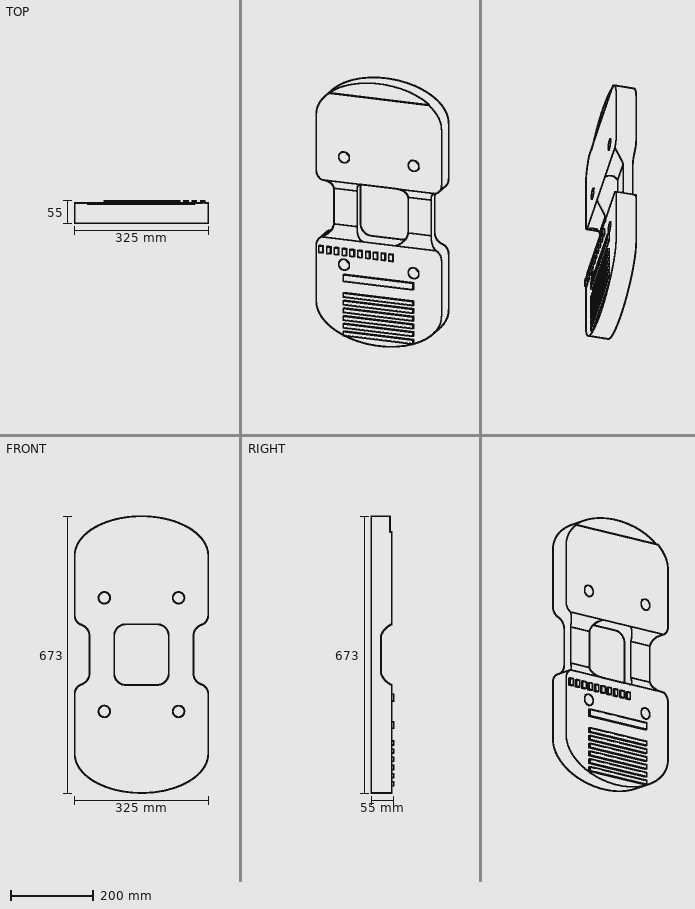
import cadquery as cq
import math

plate_height = 673.0
plate_width = 325.0
overall_depth = 55.0
raise_height = 5.0
plate_thickness = overall_depth - raise_height
end_rise = 96.0

waist_width = 253.0
waist_straight = 91.5
notch_opening = 192.5
waist_radius = 27.5

window_width = 132.0
window_height = waist_straight + 2 * waist_radius
channel_floor_thickness = 24.0
channel_wall_bow = 4.0

hole_diameter = 27.5
hole_spacing_x = 180.5
hole_spacing_z = 276.0

step_depth = 4.0
step_height = 38.5

bar_width = 180.5
bar_height = 17.0
bar_z = -171.0
slat_height = 10.0
slat_count = 6
top_slat_z = -215.0
bottom_slat_z = -314.0
slat_pitch = (top_slat_z - bottom_slat_z) / (slat_count - 1)
tab_width = 10.0
tab_height = bar_height
tab_count = 10
tab_pitch = 20.0
tab_row_x = 58.0
tab_row_z = -104.5

half_width = plate_width / 2
half_height = plate_height / 2


def front_plane(y):
    """XZ plane at depth y, with local axes along X and Z; extrude negative to go toward +Y."""
    return cq.Workplane("XZ", origin=(0, y, 0))


def arc_point(center, radius, angle):
    """Point on a circle, angle in radians from +X."""
    return (center[0] + radius * math.cos(angle), center[1] + radius * math.sin(angle))


def quadrant_points():
    """Points of the S-shaped notch end in the +X, +Z quarter, from the plate side to the waist."""
    half_waist = waist_width / 2
    inset = half_width - half_waist
    drop = (notch_opening - waist_straight) / 2
    radius_sum = (inset**2 + drop**2) / (2 * inset)
    shoulder_radius = radius_sum - waist_radius
    sweep = math.asin(drop / radius_sum)

    shoulder_center = (half_width - shoulder_radius, notch_opening / 2)
    waist_center = (half_waist + waist_radius, waist_straight / 2)
    return [
        (half_width, notch_opening / 2),
        arc_point(shoulder_center, shoulder_radius, -sweep / 2),
        arc_point(shoulder_center, shoulder_radius, -sweep),
        arc_point(waist_center, waist_radius, math.pi - sweep / 2),
        (half_waist, waist_straight / 2),
    ]


def make_plate():
    """Plate with half-ellipse ends and a notch on each side."""
    upper_right = quadrant_points()
    lower_right = [(x, -z) for x, z in reversed(upper_right)]
    lower_left = [(-x, -z) for x, z in upper_right]
    upper_left = [(-x, z) for x, z in reversed(upper_right)]
    end_z = half_height - end_rise

    def add_notch_end(outline, points):
        outline = outline.lineTo(*points[0])
        outline = outline.threePointArc(points[1], points[2])
        return outline.threePointArc(points[3], points[4])

    outline = front_plane(0).moveTo(half_width, end_z)
    outline = add_notch_end(outline, upper_right)
    outline = add_notch_end(outline, lower_right)
    outline = outline.lineTo(half_width, -end_z)
    outline = outline.ellipseArc(half_width, end_rise, 180, 360, sense=-1, startAtCurrent=True)
    outline = add_notch_end(outline, lower_left)
    outline = add_notch_end(outline, upper_left)
    outline = outline.lineTo(-half_width, end_z)
    outline = outline.ellipseArc(half_width, end_rise, 0, 180, sense=-1, startAtCurrent=True)
    return outline.close().extrude(-plate_thickness)


def make_window():
    """Rounded rectangular opening through the waist."""
    block = cq.Workplane("XY").box(window_width, 2 * plate_thickness, window_height)
    return block.translate((0, plate_thickness / 2, 0)).edges("|Y").fillet(waist_radius)


def make_channel():
    """Channel along X in the back face; its walls flare in an arc from the flat floor to the back."""
    floor_z = waist_straight / 2
    lip_z = window_height / 2
    return (
        cq.Workplane("YZ", origin=(-half_width, 0, 0))
        .moveTo(channel_floor_thickness, -floor_z)
        .lineTo(channel_floor_thickness, floor_z)
        .sagittaArc((plate_thickness, lip_z), channel_wall_bow)
        .lineTo(plate_thickness, -lip_z)
        .sagittaArc((channel_floor_thickness, -floor_z), channel_wall_bow)
        .close()
        .extrude(plate_width)
    )


def make_holes():
    """Four mounting holes through the plate."""
    return (
        front_plane(0)
        .rect(hole_spacing_x, hole_spacing_z, forConstruction=True)
        .vertices()
        .circle(hole_diameter / 2)
        .extrude(-plate_thickness)
    )


def make_top_step():
    """Shallow relief across the top of the back face."""
    return (
        front_plane(plate_thickness - step_depth)
        .center(0, half_height - step_height / 2)
        .rect(plate_width, step_height)
        .extrude(-step_depth)
    )


def raised_block(x, z, width, height):
    """Rectangular pad on the back face, centred at (x, z)."""
    return front_plane(plate_thickness).center(x, z).rect(width, height).extrude(-raise_height)


result = make_plate()
for cutter in (make_window(), make_channel(), make_holes(), make_top_step()):
    result = result.cut(cutter)

for i in range(tab_count):
    tab_x = tab_row_x + (i - (tab_count - 1) / 2) * tab_pitch
    result = result.union(raised_block(tab_x, tab_row_z, tab_width, tab_height))

result = result.union(raised_block(0, bar_z, bar_width, bar_height))
for i in range(slat_count):
    slat_z = top_slat_z - i * slat_pitch
    result = result.union(raised_block(0, slat_z, bar_width, slat_height))